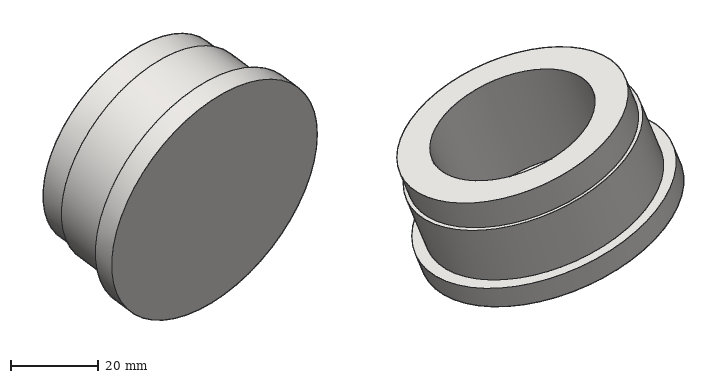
import cadquery as cq

total_length = 27.5
flange_diameter = 64.0
flange_thickness = 5.5
body_diameter = 58.0
nose_diameter = 56.0
nose_length = 7.3
bore_diameter = 40.0
floor_thickness = 2.0

body_length = total_length - nose_length - flange_thickness
bore_depth = total_length - floor_thickness


def disc(start_x, length, diameter):
    """Solid cylinder along +X, starting at start_x."""
    return cq.Workplane("YZ").workplane(offset=start_x).circle(diameter / 2).extrude(length)


nose = disc(0, nose_length, nose_diameter)
body = disc(nose_length, body_length, body_diameter)
flange = disc(nose_length + body_length, flange_thickness, flange_diameter)
bore = disc(0, bore_depth, bore_diameter)

result = nose.union(body).union(flange).cut(bore)